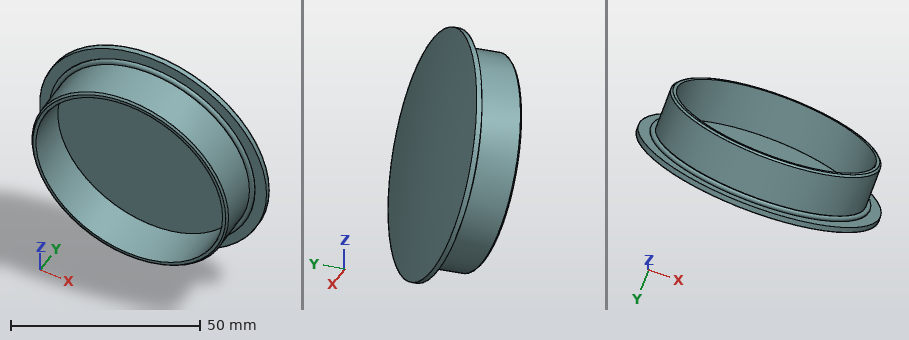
import cadquery as cq
import math

flange_radius = 34.25
flange_thickness = 1.5
dome_height = 2.5
total_depth = 17.0
floor_offset = 1.0

skirt_outer_radius = 29.65
skirt_inner_radius = 28.15
rim_chamfer = 0.55

bead_outer_radius = 31.0
bead_radius = 0.75
bead_depth = 1.4

flange_back = flange_thickness
dome_top = flange_back + dome_height
rim = dome_top - total_depth
floor = -floor_offset

dome_sphere_radius = (flange_radius**2 + dome_height**2) / (2 * dome_height)
dome_mid_radius = flange_radius / 2
dome_mid = dome_top - dome_sphere_radius + math.sqrt(dome_sphere_radius**2 - dome_mid_radius**2)


def revolve_about_y(profile):
    """Turn a closed half profile in the XY plane once around the Y axis."""
    return profile.close().revolve(360, (0, 0, 0), (0, 1, 0))


def make_cap():
    """Domed cover, flange and hollow skirt."""
    return revolve_about_y(
        cq.Workplane("XY")
        .moveTo(0, floor)
        .lineTo(skirt_inner_radius, floor)
        .lineTo(skirt_inner_radius, rim)
        .lineTo(skirt_outer_radius - rim_chamfer, rim)
        .lineTo(skirt_outer_radius, rim + rim_chamfer)
        .lineTo(skirt_outer_radius, 0)
        .lineTo(flange_radius, 0)
        .lineTo(flange_radius, flange_back)
        .threePointArc((dome_mid_radius, dome_mid), (0, dome_top))
    )


def make_bead():
    """Round sealing bead in the corner between the skirt and the flange."""
    center_radius = bead_outer_radius - bead_radius
    center_y = bead_radius - bead_depth
    flange_contact = center_radius + math.sqrt(bead_radius**2 - center_y**2)
    skirt_contact = center_y - math.sqrt(bead_radius**2 - (center_radius - skirt_outer_radius) ** 2)
    return revolve_about_y(
        cq.Workplane("XY")
        .moveTo(skirt_inner_radius, 0)
        .lineTo(flange_contact, 0)
        .threePointArc((bead_outer_radius, center_y), (skirt_outer_radius, skirt_contact))
        .lineTo(skirt_inner_radius, skirt_contact)
    )


result = make_cap().union(make_bead())